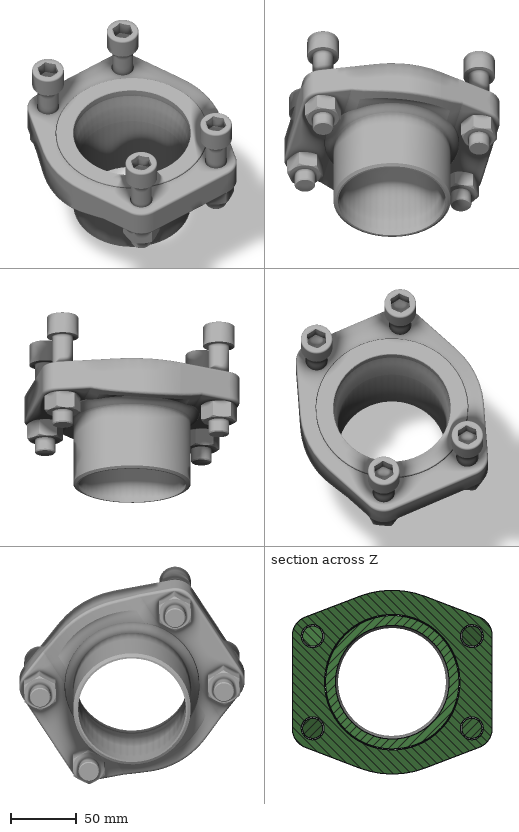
import cadquery as cq
import math

PIPE_HEIGHT = 80.3
PIPE_RADIUS = 89.0 / 2
PIPE_BORE_RADIUS = 81.8 / 2
WELD_BEVEL_HEIGHT = 1.4
WELD_BEVEL_WIDTH = 2.3
HUB_RADIUS = 101.5 / 2
HUB_CONE_BOTTOM = 49.9
HUB_FILLET = 1.7
COLLAR_RADIUS = 115.0 / 2
COLLAR_TOP_RADIUS = 114.3 / 2
COLLAR_THICKNESS = 7.6
MOUTH_RADIUS = 88.9 / 2
MOUTH_BOTTOM = 74.2
MOUTH_CHAMFER = 0.5
BELL_BOTTOM = 50.2

FLANGE_HALF_LENGTH = 152.0 / 2
FLANGE_HALF_WIDTH = 139.7 / 2
FLANGE_TOP = 79.3
FLANGE_BOTTOM = 56.5
FLANGE_FILLET = 2.0
BELLY_BOTTOM = 50.8
BELLY_HALF_LENGTH = 42.9
BELLY_CLIP = 48.6
PIPE_CLEARANCE = 0.5
FLANGE_BORE_RADIUS = HUB_RADIUS + PIPE_CLEARANCE
COLLAR_RECESS_RADIUS = COLLAR_RADIUS + PIPE_CLEARANCE
HUB_RELIEF_RADIUS = 60.8
HUB_RELIEF_TOP = 54.5

BOLT_X = 60.3
BOLT_Y = 35.0
CLEARANCE_RADIUS = 17.0 / 2
SHANK_RADIUS = 15.7 / 2
SCREW_TOP = 119.6
HEAD_RADIUS = 24.0 / 2
HEAD_HEIGHT = 16.3
HEAD_FILLET = 1.4
NECK_FILLET = 0.6
SCREW_TIP = 33.3
TIP_CHAMFER_HEIGHT = 0.9
TIP_RADIUS = 14.3 / 2
SOCKET_ACROSS_FLATS = 14.0
SOCKET_DEPTH = 10.6
SOCKET_POINT_DEPTH = 4.1
SOCKET_ANGLE = 40.0
SOCKET_LEAD_IN_ANGLE = 25.0
NUT_ACROSS_FLATS = 24.0
NUT_HEIGHT = 13.0
NUT_CHAMFER_ANGLE = 30.0

CORNERS_PER_FLAT = 1 / math.cos(math.pi / 6)
BOLT_POINTS = [(sx * BOLT_X, sy * BOLT_Y) for sx in (-1, 1) for sy in (-1, 1)]


def hexagon(across_flats, bottom, height, angle=0.0):
    """Hexagonal prism on the Z axis with one corner at the given angle."""
    return (
        cq.Workplane("XY", origin=(0, 0, bottom))
        .polygon(6, across_flats * CORNERS_PER_FLAT)
        .extrude(height)
        .rotate((0, 0, 0), (0, 0, 1), angle)
    )


def disc(radius, bottom, top):
    """Solid cylinder on the Z axis."""
    return cq.Workplane("XY", origin=(0, 0, bottom)).circle(radius).extrude(top - bottom)


def make_pipe():
    """Pipe, conical hub and collar as one turned part with a bell-mouthed bore."""
    hub_cone_top = HUB_CONE_BOTTOM + HUB_RADIUS - PIPE_RADIUS
    collar_bottom = PIPE_HEIGHT - COLLAR_THICKNESS
    collar_chamfer = COLLAR_RADIUS - COLLAR_TOP_RADIUS
    rise = MOUTH_BOTTOM - BELL_BOTTOM
    flare = MOUTH_RADIUS - PIPE_BORE_RADIUS
    bell_radius = (rise**2 + flare**2) / (2 * flare)
    body = (
        cq.Workplane("XZ")
        .moveTo(PIPE_BORE_RADIUS, 0)
        .lineTo(PIPE_RADIUS - WELD_BEVEL_WIDTH, 0)
        .lineTo(PIPE_RADIUS, WELD_BEVEL_HEIGHT)
        .lineTo(PIPE_RADIUS, HUB_CONE_BOTTOM)
        .lineTo(HUB_RADIUS, hub_cone_top)
        .lineTo(HUB_RADIUS, collar_bottom)
        .lineTo(COLLAR_RADIUS, collar_bottom)
        .lineTo(COLLAR_RADIUS, PIPE_HEIGHT - collar_chamfer)
        .lineTo(COLLAR_TOP_RADIUS, PIPE_HEIGHT)
        .lineTo(MOUTH_RADIUS + MOUTH_CHAMFER, PIPE_HEIGHT)
        .lineTo(MOUTH_RADIUS, PIPE_HEIGHT - MOUTH_CHAMFER)
        .lineTo(MOUTH_RADIUS, MOUTH_BOTTOM)
        .radiusArc((PIPE_BORE_RADIUS, BELL_BOTTOM), -bell_radius)
        .close()
        .revolve(360, (0, 0, 0), (0, 1, 0))
    )
    cone_foot = [
        edge for edge in body.edges("%CIRCLE").vals()
        if math.isclose(edge.Center().z, HUB_CONE_BOTTOM)
    ]
    return body.newObject(cone_foot).fillet(HUB_FILLET)


def flange_outline(bottom, top):
    """Two end arcs about the origin joined by tangents to arcs about the bolt centres."""
    corner_radius = FLANGE_HALF_LENGTH - BOLT_X
    bolt_distance = math.hypot(BOLT_X, BOLT_Y)
    normal = math.atan2(BOLT_Y, BOLT_X) + math.acos(
        (FLANGE_HALF_WIDTH - corner_radius) / bolt_distance
    )
    end_x = FLANGE_HALF_WIDTH * math.cos(normal)
    end_y = FLANGE_HALF_WIDTH * math.sin(normal)
    corner_x = BOLT_X + corner_radius * math.cos(normal)
    corner_y = BOLT_Y + corner_radius * math.sin(normal)
    mid_x = BOLT_X + corner_radius * math.cos(normal / 2)
    mid_y = BOLT_Y + corner_radius * math.sin(normal / 2)
    return (
        cq.Workplane("XY", origin=(0, 0, bottom))
        .moveTo(-end_x, end_y)
        .threePointArc((0, FLANGE_HALF_WIDTH), (end_x, end_y))
        .lineTo(corner_x, corner_y)
        .threePointArc((mid_x, mid_y), (FLANGE_HALF_LENGTH, BOLT_Y))
        .lineTo(FLANGE_HALF_LENGTH, -BOLT_Y)
        .threePointArc((mid_x, -mid_y), (corner_x, -corner_y))
        .lineTo(end_x, -end_y)
        .threePointArc((0, -FLANGE_HALF_WIDTH), (-end_x, -end_y))
        .lineTo(-corner_x, -corner_y)
        .threePointArc((-mid_x, -mid_y), (-FLANGE_HALF_LENGTH, -BOLT_Y))
        .lineTo(-FLANGE_HALF_LENGTH, BOLT_Y)
        .threePointArc((-mid_x, mid_y), (-corner_x, corner_y))
        .close()
        .extrude(top - bottom)
    )


def make_belly():
    """Middle stretch of the outline with a bowed underside and a rounded lower rim."""
    belly_depth = FLANGE_BOTTOM - BELLY_BOTTOM
    bow_radius = (BELLY_HALF_LENGTH**2 + belly_depth**2) / (2 * belly_depth)
    bow = (
        cq.Workplane("XZ", origin=(0, 0, BELLY_BOTTOM + bow_radius))
        .circle(bow_radius)
        .extrude(FLANGE_HALF_LENGTH, both=True)
    )
    blank = flange_outline(BELLY_BOTTOM, FLANGE_TOP - 2 * FLANGE_FILLET).intersect(bow)
    belly = blank.faces("<Z").edges().fillet(FLANGE_FILLET)
    middle = cq.Workplane("XY").box(2 * BELLY_CLIP, 2 * FLANGE_HALF_LENGTH, 2 * FLANGE_TOP)
    return belly.intersect(middle)


def make_flange():
    """Rounded plate with a belly, a stepped bore for the pipe and four bolt holes."""
    plate = (
        flange_outline(FLANGE_BOTTOM, FLANGE_TOP)
        .faces("<Z or >Z").edges().fillet(FLANGE_FILLET)
    )
    plate = plate.union(make_belly())

    recess = disc(COLLAR_RECESS_RADIUS, PIPE_HEIGHT - COLLAR_THICKNESS, FLANGE_TOP)
    bore = disc(FLANGE_BORE_RADIUS, 0, FLANGE_TOP)
    hub_relief = disc(HUB_RELIEF_RADIUS, BELLY_BOTTOM, HUB_RELIEF_TOP)
    bolt_holes = (
        cq.Workplane("XY").pushPoints(BOLT_POINTS).circle(CLEARANCE_RADIUS).extrude(FLANGE_TOP)
    )
    return plate.cut(recess).cut(bore).cut(hub_relief).cut(bolt_holes)


def make_screw():
    """Socket head screw on the Z axis."""
    head_bottom = SCREW_TOP - HEAD_HEIGHT
    body = (
        cq.Workplane("XZ")
        .moveTo(0, SCREW_TIP)
        .lineTo(TIP_RADIUS, SCREW_TIP)
        .lineTo(SHANK_RADIUS, SCREW_TIP + TIP_CHAMFER_HEIGHT)
        .lineTo(SHANK_RADIUS, head_bottom - NECK_FILLET)
        .radiusArc((SHANK_RADIUS + NECK_FILLET, head_bottom), NECK_FILLET)
        .lineTo(HEAD_RADIUS, head_bottom)
        .lineTo(HEAD_RADIUS, SCREW_TOP)
        .lineTo(0, SCREW_TOP)
        .close()
        .revolve(360, (0, 0, 0), (0, 1, 0))
        .faces(">Z").edges().fillet(HEAD_FILLET)
    )
    socket_floor = SCREW_TOP - SOCKET_DEPTH
    corner_radius = SOCKET_ACROSS_FLATS * CORNERS_PER_FLAT / 2
    flat_radius = SOCKET_ACROSS_FLATS / 2
    socket = hexagon(SOCKET_ACROSS_FLATS, socket_floor, SOCKET_DEPTH, SOCKET_ANGLE)
    point = cq.Workplane(
        cq.Solid.makeCone(0, flat_radius, SOCKET_POINT_DEPTH,
                          pnt=cq.Vector(0, 0, socket_floor - SOCKET_POINT_DEPTH))
    )
    lead_in_depth = (corner_radius - flat_radius) * math.tan(math.radians(SOCKET_LEAD_IN_ANGLE))
    lead_in = cq.Workplane(
        cq.Solid.makeCone(flat_radius, corner_radius, lead_in_depth,
                          pnt=cq.Vector(0, 0, SCREW_TOP - lead_in_depth))
    )
    return body.cut(socket).cut(point).cut(lead_in)


def make_nut():
    """Hexagon nut on the Z axis, its top against the flange and its bore fitting the shank."""
    bottom = FLANGE_BOTTOM - NUT_HEIGHT
    flat_radius = NUT_ACROSS_FLATS / 2
    corner_radius = flat_radius * CORNERS_PER_FLAT
    drop = (corner_radius - flat_radius) * math.tan(math.radians(NUT_CHAMFER_ANGLE))
    blank = (
        cq.Workplane("XZ")
        .moveTo(SHANK_RADIUS, bottom)
        .lineTo(flat_radius, bottom)
        .lineTo(corner_radius, bottom + drop)
        .lineTo(corner_radius, FLANGE_BOTTOM - drop)
        .lineTo(flat_radius, FLANGE_BOTTOM)
        .lineTo(SHANK_RADIUS, FLANGE_BOTTOM)
        .close()
        .revolve(360, (0, 0, 0), (0, 1, 0))
    )
    return hexagon(NUT_ACROSS_FLATS, bottom, NUT_HEIGHT).intersect(blank)


def at_bolts(part):
    """One separate copy of the part at every bolt position."""
    return [part.translate((x, y, 0)).val() for x, y in BOLT_POINTS]


pipe = make_pipe()
flange = make_flange()
screws = at_bolts(make_screw())
nuts = at_bolts(make_nut())

result = cq.Compound.makeCompound([pipe.val(), flange.val(), *screws, *nuts])